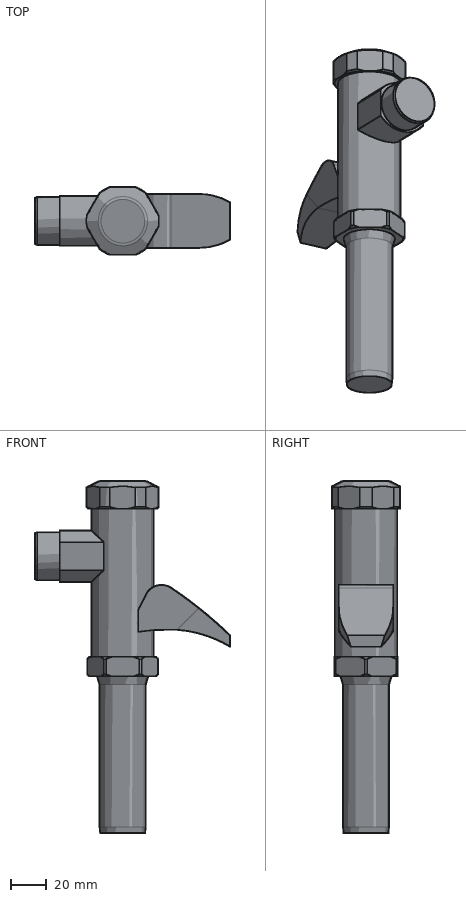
import cadquery as cq
import math

total_height = 196.9

body_radius = 35.0 / 2
tube_radius = 13.0
tube_end_radius = 12.6
tube_end_height = 3.5

collar_radius = 14.4
collar_bottom = 83.0

nut_bottom = 87.6
nut_top = 98.5
nut_flats = 35.2
nut_radius = 19.9
nut_chamfer = 1.2

cap_bottom = 181.3
cap_flats = 38.0
cap_radius = 20.3
cap_chamfer = 1.0
crown_height = 3.7
crown_top_radius = 13.8
crown_edge_drop = 0.4
crown_flat_radius = 12.2

inlet_height = 154.8
inlet_end = -49.0
inlet_shoulder = -35.2
inlet_radius = 27.0 / 2
inlet_chamfer_length = 1.4
inlet_chamfer_depth = 0.5
block_half_width = 14.0
block_flat_half_height = 7.9
block_crown_half_height = 14.47

lever_root = 4.0
lever_tip = 60.0
lever_half_width = 15.2
lever_root_top = 115.4
lever_root_bottom = 111.6
lever_tip_top = 110.5
lever_tip_bottom = 104.2
lever_shoulder = (13.5, 134.3)
lever_crest = (20.0, 138.6)
lever_crest_end = (27.0, 137.2)
lever_top_middle = (42.3, 126.0)
lever_underside_middle = (46.9, 110.3)
lever_underside_inner = (17.3, 113.5)
lever_taper_start = (30.1, 113.6)
lever_taper_radius = 60.6
lever_taper_length = 39.4


def revolve_profile(points):
    """Revolve (radius, height) points about the Z axis."""
    return cq.Workplane("XZ").polyline(points).close().revolve(360, (0, 0), (0, 1))


def hexagon(across_flats, bottom, top):
    """Hexagonal prism with two flats facing +Y and -Y."""
    corner_diameter = across_flats / math.cos(math.pi / 6)
    return cq.Workplane("XY", origin=(0, 0, bottom)).polygon(6, corner_diameter).extrude(top - bottom)


def make_stem():
    return revolve_profile([
        (0, 0),
        (tube_end_radius, 0),
        (tube_radius, tube_end_height),
        (tube_radius, collar_bottom),
        (collar_radius, nut_bottom),
        (body_radius, nut_bottom),
        (body_radius, cap_bottom),
        (0, cap_bottom),
    ])


def make_nut():
    envelope = revolve_profile([
        (0, nut_bottom),
        (nut_radius - nut_chamfer, nut_bottom),
        (nut_radius, nut_bottom + nut_chamfer),
        (nut_radius, nut_top - nut_chamfer),
        (nut_radius - nut_chamfer, nut_top),
        (0, nut_top),
    ])
    return hexagon(nut_flats, nut_bottom, nut_top).intersect(envelope)


def make_cap():
    envelope = revolve_profile([
        (0, cap_bottom),
        (cap_radius - cap_chamfer, cap_bottom),
        (cap_radius, cap_bottom + cap_chamfer),
        (cap_radius, total_height - crown_height),
        (crown_top_radius, total_height - crown_edge_drop),
        (crown_flat_radius, total_height),
        (0, total_height),
    ])
    return hexagon(cap_flats, cap_bottom, total_height).intersect(envelope)


def make_inlet():
    block = (
        cq.Workplane("YZ", origin=(inlet_shoulder, 0, inlet_height))
        .moveTo(-block_half_width, -block_flat_half_height)
        .threePointArc((0, -block_crown_half_height), (block_half_width, -block_flat_half_height))
        .lineTo(block_half_width, block_flat_half_height)
        .threePointArc((0, block_crown_half_height), (-block_half_width, block_flat_half_height))
        .close()
        .extrude(-inlet_shoulder)
    )
    spigot = (
        cq.Workplane("YZ", origin=(inlet_end, 0, inlet_height))
        .circle(inlet_radius)
        .extrude(-inlet_end)
        .faces("<X")
        .edges()
        .chamfer(inlet_chamfer_length, inlet_chamfer_depth)
    )
    return block.union(spigot)


def make_lever():
    blade = (
        cq.Workplane("XZ")
        .moveTo(lever_root, lever_root_top)
        .lineTo(*lever_shoulder)
        .threePointArc(lever_crest, lever_crest_end)
        .threePointArc(lever_top_middle, (lever_tip, lever_tip_top))
        .lineTo(lever_tip, lever_tip_bottom)
        .threePointArc(lever_underside_middle, lever_taper_start)
        .threePointArc(lever_underside_inner, (lever_root, lever_root_bottom))
        .close()
        .extrude(lever_half_width, both=True)
    )
    start_x, start_z = lever_taper_start
    taper_drop = lever_taper_radius - math.sqrt(lever_taper_radius**2 - lever_taper_length**2)
    mid_length = lever_taper_length / 2
    mid_drop = lever_taper_radius - math.sqrt(lever_taper_radius**2 - mid_length**2)
    tip_half_width = lever_half_width - taper_drop
    mid_half_width = lever_half_width - mid_drop
    slanted_plane = cq.Plane(origin=(start_x, 0, start_z), xDir=(1, 0, -1), normal=(1, 0, 1))
    side_envelope = (
        cq.Workplane(slanted_plane)
        .moveTo(-lever_tip, -lever_half_width)
        .lineTo(0, -lever_half_width)
        .threePointArc((mid_length, -mid_half_width), (lever_taper_length, -tip_half_width))
        .lineTo(lever_taper_length, tip_half_width)
        .threePointArc((mid_length, mid_half_width), (0, lever_half_width))
        .lineTo(-lever_tip, lever_half_width)
        .close()
        .extrude(lever_tip, both=True)
    )
    return blade.intersect(side_envelope)


result = make_stem()
for feature in (make_nut(), make_cap(), make_inlet(), make_lever()):
    result = result.union(feature)